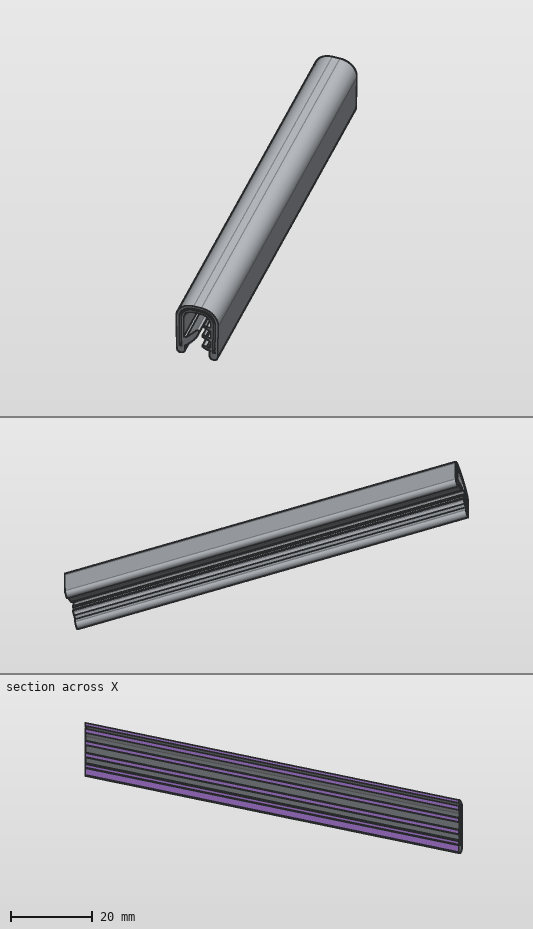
import cadquery as cq

length = 100.0
height = 15.8
width = 11.0

crown_radius = 4.5
slot_outer_radius = 3.7
slot_inner_radius = 3.2
inner_radius = 2.5
arch_z = height - crown_radius
arch_x = width / 2 - crown_radius

lean = 0.2
foot_outer_x = width / 2 - lean
foot_inner_x = 3.2
foot_radius = (foot_outer_x - foot_inner_x) / 2
foot_top_z = foot_radius
slot_bottom_z = 2.2
slot_outer_lean = 0.1
slot_inner_lean = 0.15
step_z = 2.6
inner_wall_x = arch_x + inner_radius
fin_root_x = inner_wall_x + 0.3

diagonal = 0.5 ** 0.5


def arch(profile, radius, start_side):
    """Draw a rounded arch; start_side is -1 for left to right, 1 for right to left."""
    side_x = start_side * (arch_x + radius)
    mid_x = start_side * (arch_x + radius * diagonal)
    mid_z = arch_z + radius * diagonal
    top_x = start_side * arch_x
    top_z = arch_z + radius
    return (
        profile.lineTo(side_x, arch_z)
        .threePointArc((mid_x, mid_z), (top_x, top_z))
        .lineTo(-top_x, top_z)
        .threePointArc((-mid_x, mid_z), (-side_x, arch_z))
    )


def extrude(profile):
    """Close a profile and extrude it over the length, centred on Y = 0."""
    return profile.close().extrude(length / 2, both=True)


def body():
    """U-shaped channel with rounded feet."""
    foot_mid_x = (foot_outer_x + foot_inner_x) / 2
    profile = cq.Workplane("XZ").moveTo(-foot_outer_x, foot_top_z)
    profile = arch(profile, crown_radius, -1)
    profile = (
        profile.lineTo(foot_outer_x, foot_top_z)
        .threePointArc((foot_mid_x, 0), (foot_inner_x, foot_top_z))
        .lineTo(foot_inner_x, step_z)
        .lineTo(inner_wall_x, step_z)
    )
    profile = arch(profile, inner_radius, 1)
    profile = (
        profile.lineTo(-inner_wall_x, step_z)
        .lineTo(-foot_inner_x, step_z)
        .lineTo(-foot_inner_x, foot_top_z)
        .threePointArc((-foot_mid_x, 0), (-foot_outer_x, foot_top_z))
    )
    return extrude(profile)


def insert_slot():
    """Thin U-shaped slot that runs inside the wall, for a stiffening strip."""
    outer_x = arch_x + slot_outer_radius - slot_outer_lean
    inner_x = arch_x + slot_inner_radius - slot_inner_lean
    profile = cq.Workplane("XZ").moveTo(-outer_x, slot_bottom_z)
    profile = arch(profile, slot_outer_radius, -1)
    profile = profile.lineTo(outer_x, slot_bottom_z).lineTo(inner_x, slot_bottom_z)
    profile = arch(profile, slot_inner_radius, 1)
    profile = profile.lineTo(-inner_x, slot_bottom_z)
    return extrude(profile)


def gripping_lip():
    """Thick lip that rises from the left leg towards the middle."""
    ledge_z = 5.3
    root_bottom_z = 2.4
    profile = (
        cq.Workplane("XZ")
        .moveTo(-fin_root_x, ledge_z)
        .lineTo(-2.8, ledge_z)
        .lineTo(-0.2, 8.2)
        .threePointArc((0.3, 8.4), (0.5, 7.9))
        .threePointArc((0.1, 6.6), (-0.7, 5.2))
        .lineTo(-1.7, 3.9)
        .lineTo(-foot_inner_x, root_bottom_z)
        .lineTo(-fin_root_x, root_bottom_z)
    )
    return extrude(profile)


def fin(upper_edge, tip, lower_edge):
    """Small fin on the right leg: upper edge to the tip, then back to the leg."""
    root_top_z = upper_edge[0][1]
    root_bottom_z = lower_edge[-1][1]
    profile = (
        cq.Workplane("XZ")
        .moveTo(fin_root_x, root_top_z)
        .polyline(upper_edge, includeCurrent=True)
        .threePointArc(tip, lower_edge[0])
        .polyline(lower_edge[1:], includeCurrent=True)
        .lineTo(fin_root_x, root_bottom_z)
    )
    return extrude(profile)


upper_fin = fin(
    [(inner_wall_x, 10.1), (2.4, 10.1), (2.0, 10.3)],
    (1.6, 10.2),
    [(1.7, 9.8), (2.4, 9.5), (inner_wall_x, 8.8)],
)
middle_fin = fin(
    [(inner_wall_x, 6.8), (2.6, 6.8), (2.3, 7.1), (1.7, 7.2)],
    (1.3, 6.9),
    [(1.6, 6.5), (2.0, 6.2), (2.8, 6.0), (inner_wall_x, 5.4)],
)
lower_fin = fin(
    [(inner_wall_x, 3.9), (3.1, 3.5), (2.9, 3.5), (2.5, 3.8), (1.6, 3.9)],
    (1.3, 3.7),
    [(1.5, 3.4), (2.3, 2.9), (foot_inner_x, 2.7), (inner_wall_x, step_z)],
)

result = body().cut(insert_slot())
for feature in (gripping_lip(), upper_fin, middle_fin, lower_fin):
    result = result.union(feature)